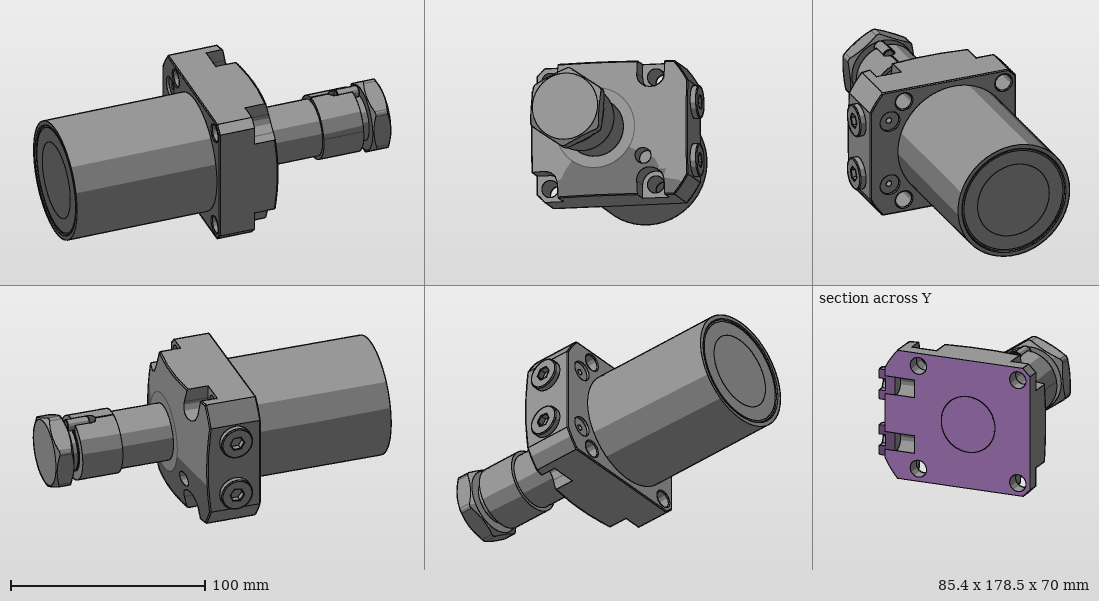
import cadquery as cq
import math


barrel_length = 77.1
flange_depth = 36.2
rod_shoulder_y = 64.6
sleeve_length = 22.0
nut_height = 10.0
total_length = 178.5

flange_half_height = 35.0
flange_right_x = 35.0
flange_left_x = -47.0
flange_round_radius = 53.0
flange_right_chamfer = 4.1
flange_edge_chamfer = 0.5
cone_angle = 15.0
cone_top_radius = 20.9
cone_base_radius = 55.3

mount_pitch_half = 28.0
mount_hole_diameter = 9.0
mount_hole_chamfer = 0.5
head_pocket_radius = 7.0
head_pocket_floor_y = 19.5

barrel_radius = 31.5
closure_radius = 28.7
closure_recess = 0.5
closure_thickness = 10.7
ring_width = 0.9
cap_radius = closure_radius - ring_width
disc_radius = 20.2

hexagon_sides = 6
hexagon_half_angle = 30.0

port_z = 15.2
port_y = 14.0
port_radius = 5.0
port_depth = 16.6
plug_head_diameter = 17.0
plug_head_height = 3.4
plug_head_chamfer = 0.5
plug_shank_length = 5.9
plug_socket_diameter = 7.3
plug_socket_depth = 3.5
plug_socket_chamfer = 0.4
upper_socket_turn = 0.0
lower_socket_turn = 7.0
front_port_x = -35.9
front_port_z = 18.0
front_port_diameter = 3.0
seal_recess_diameter = 11.0
seal_recess_depth = 1.5

back_bore_x = -24.8
back_bore_diameter = 8.0
back_bore_floor_y = 25.0

rod_radius = 15.0
spigot_radius = 12.1
relief_radius = 11.6
relief_width = 0.7
sleeve_radius = 17.0
slit_width = 0.5
slot_end_gap = 0.7
key_radius = 3.0
key_length = 12.1
key_chamfer = 0.4
key_bottom_y = 78.4
key_angle = 8.5
nut_across_flats = 36.0
nut_corner_radius = 2.7
nut_face_radius = 17.3
nut_chamfer_angle = 30.0
nut_angle = 4.5

nut_top_y = total_length - barrel_length
nut_bottom_y = nut_top_y - nut_height
sleeve_top_y = rod_shoulder_y + sleeve_length
closure_y = closure_recess - barrel_length


def across(y):
    """Workplane square to the axis at the given Y, with local axes X and Z."""
    return cq.Workplane("XZ", origin=(0, y, 0))


def cylinder(radius, y_start, y_end):
    """Solid cylinder on the Y axis."""
    return across(y_start).circle(radius).extrude(y_start - y_end)


def chamfered_mouth(radius, chamfer, center):
    """Cone that chamfers the mouth of a hole opening toward -Y."""
    cone = cq.Solid.makeCone(radius + chamfer, radius, chamfer, cq.Vector(*center), cq.Vector(0, 1, 0))
    return cq.Workplane(cone)


def revolved(points):
    """Solid turned about the Y axis from (radius, y) points."""
    outline = cq.Workplane("XY").polyline(points).close()
    return outline.revolve(360, (0, 0, 0), (0, 1, 0))


def turn(body, angle):
    """Turn a body about the Y axis, moving its +Z side toward -X."""
    return body.rotate((0, 0, 0), (0, 1, 0), -angle)


def flange_block():
    """Flange with arc-shaped left corners, chamfered right corners and a conical back."""
    h = flange_half_height
    chamfer_x = flange_right_x - flange_right_chamfer
    chamfer_z = h - flange_right_chamfer
    side_z = math.sqrt(flange_round_radius**2 - flange_left_x**2)
    top_x = -math.sqrt(flange_round_radius**2 - h**2)
    mid_angle = (math.atan2(side_z, flange_left_x) + math.atan2(h, top_x)) / 2
    mid_x = flange_round_radius * math.cos(mid_angle)
    mid_z = flange_round_radius * math.sin(mid_angle)
    block = (
        across(0)
        .moveTo(top_x, h)
        .lineTo(chamfer_x, h)
        .lineTo(flange_right_x, chamfer_z)
        .lineTo(flange_right_x, -chamfer_z)
        .lineTo(chamfer_x, -h)
        .lineTo(top_x, -h)
        .threePointArc((mid_x, -mid_z), (flange_left_x, -side_z))
        .lineTo(flange_left_x, side_z)
        .threePointArc((mid_x, mid_z), (top_x, h))
        .close()
        .extrude(-flange_depth)
    )
    cone_drop = (cone_base_radius - cone_top_radius) * math.tan(math.radians(cone_angle))
    envelope = revolved(
        [
            (0, 0),
            (cone_base_radius, 0),
            (cone_base_radius, flange_depth - cone_drop),
            (cone_top_radius, flange_depth),
            (0, flange_depth),
        ]
    )
    block = block.intersect(envelope)
    block = block.faces("<Y").edges().chamfer(flange_edge_chamfer)
    cone_edges = block.faces("%CONE").edges("not %CIRCLE")
    return cone_edges.chamfer(flange_edge_chamfer)


def mount_cutter(side_x, side_z):
    """Mounting hole with chamfered mouth and a screw head pocket open at the flange edge."""
    x = side_x * mount_pitch_half
    z = side_z * mount_pitch_half
    hole_radius = mount_hole_diameter / 2
    hole = across(0).center(x, z).circle(hole_radius).extrude(-flange_depth)
    mouth = chamfered_mouth(hole_radius, mount_hole_chamfer, (x, 0, z))
    floor = across(head_pocket_floor_y).center(x, z)
    pocket_height = flange_depth - head_pocket_floor_y
    reach = 2 * head_pocket_radius
    pocket = floor.circle(head_pocket_radius).extrude(-pocket_height)
    up_slot = floor.center(0, side_z * reach / 2).rect(reach, reach).extrude(-pocket_height)
    cutter = hole.union(mouth).union(pocket).union(up_slot)
    if side_x > 0:
        side_slot = floor.center(reach / 2, 0).rect(reach, reach).extrude(-pocket_height)
        corner = floor.center(reach / 2, side_z * reach / 2).rect(reach, reach).extrude(-pocket_height)
        cutter = cutter.union(side_slot).union(corner)
    return cutter


def port_cutter(side_z):
    """Side port bore with the small front bore and seal recess that lead to it."""
    side = cq.Workplane("YZ", origin=(flange_left_x, port_y, side_z * port_z))
    side_bore = side.circle(port_radius).extrude(port_depth)
    front = across(0).center(front_port_x, side_z * front_port_z)
    front_bore = front.circle(front_port_diameter / 2).extrude(-port_y)
    recess = front.circle(seal_recess_diameter / 2).extrude(-seal_recess_depth)
    return side_bore.union(front_bore).union(recess)


def make_housing():
    """Flange and barrel in one piece, with every bore and pocket."""
    housing = flange_block().union(cylinder(barrel_radius, -barrel_length, 0))
    for side_z in (1, -1):
        housing = housing.cut(port_cutter(side_z))
        for side_x in (1, -1):
            housing = housing.cut(mount_cutter(side_x, side_z))
    back_bore = (
        across(back_bore_floor_y)
        .center(back_bore_x, -port_z)
        .circle(back_bore_diameter / 2)
        .extrude(back_bore_floor_y - flange_depth)
    )
    rod_bore = cylinder(rod_radius, 0, flange_depth)
    closure_end = closure_y + closure_thickness
    closure_bore = cylinder(closure_radius, -barrel_length, closure_end)
    closure_mouth = chamfered_mouth(closure_radius, closure_recess, (0, -barrel_length, 0))
    return housing.cut(back_bore).cut(rod_bore).cut(closure_bore).cut(closure_mouth)


def make_closure_part(outer_radius, inner_radius=0.0):
    """Disc or ring filling one zone of the barrel end."""
    profile = across(closure_y).circle(outer_radius)
    if inner_radius > 0:
        profile = profile.circle(inner_radius)
    return profile.extrude(-closure_thickness)


def make_plug(side_z, socket_turn):
    """Port plug with a chamfered round head, a shank and a chamfered hexagon socket."""
    seat = cq.Workplane("YZ", origin=(flange_left_x, port_y, side_z * port_z))
    head = seat.circle(plug_head_diameter / 2).extrude(-plug_head_height)
    head = head.faces("<X").edges().chamfer(plug_head_chamfer)
    shank = seat.circle(port_radius).extrude(plug_shank_length)
    socket = (
        seat.workplane(offset=-plug_head_height)
        .transformed(rotate=(0, 0, socket_turn))
        .polygon(hexagon_sides, plug_socket_diameter)
        .extrude(plug_socket_depth)
    )
    mouth_growth = 1 + 2 * plug_socket_chamfer / plug_socket_diameter
    mouth = (
        seat.workplane(offset=plug_socket_chamfer - plug_head_height)
        .transformed(rotate=(0, 0, socket_turn))
        .polygon(hexagon_sides, plug_socket_diameter)
        .workplane(offset=-plug_socket_chamfer)
        .polygon(hexagon_sides, plug_socket_diameter * mouth_growth)
        .loft(ruled=True)
    )
    return head.union(shank).cut(socket).cut(mouth)


def make_rod():
    """Piston rod with a spigot that carries the sleeve and ends in the nut face."""
    rod = cylinder(rod_radius, 0, rod_shoulder_y)
    spigot = cylinder(spigot_radius, rod_shoulder_y, nut_bottom_y)
    relief = cylinder(relief_radius, sleeve_top_y, sleeve_top_y + relief_width)
    groove = cylinder(rod_radius, sleeve_top_y, sleeve_top_y + relief_width).cut(relief)
    return turn(rod.union(spigot).cut(groove), key_angle)


def make_sleeve():
    """Split sleeve with a round-ended key slot that runs out into the narrow slit."""
    sleeve = cylinder(sleeve_radius, rod_shoulder_y, sleeve_top_y)
    sleeve = sleeve.cut(cylinder(spigot_radius, rod_shoulder_y, sleeve_top_y))
    slot_round_y = key_bottom_y - slot_end_gap
    slot_length = sleeve_top_y - slot_round_y
    slot = (
        cq.Workplane("XY")
        .center(0, slot_round_y)
        .circle(key_radius)
        .extrude(sleeve_radius)
        .union(
            cq.Workplane("XY")
            .center(0, slot_round_y + slot_length / 2)
            .rect(2 * key_radius, slot_length)
            .extrude(sleeve_radius)
        )
    )
    slit = (
        cq.Workplane("XY")
        .center(0, rod_shoulder_y + sleeve_length / 2)
        .rect(slit_width, sleeve_length)
        .extrude(sleeve_radius)
    )
    return turn(sleeve.cut(slot).cut(slit), key_angle)


def make_key():
    """Round key with chamfered ends, resting on the spigot in the sleeve's slot."""
    key = across(key_bottom_y).center(0, spigot_radius + key_radius).circle(key_radius)
    key = key.extrude(-key_length).edges("%CIRCLE").chamfer(key_chamfer)
    return turn(key, key_angle)


def make_nut():
    """Hexagon nut with rounded corners and conical chamfers on both faces."""
    corner_diameter = nut_across_flats / math.cos(math.radians(hexagon_half_angle))
    nut = (
        across(nut_bottom_y)
        .transformed(rotate=(0, 0, hexagon_half_angle))
        .polygon(hexagon_sides, corner_diameter)
        .extrude(-nut_height)
        .edges("|Y")
        .fillet(nut_corner_radius)
    )
    outer_radius = corner_diameter / 2
    chamfer_height = (outer_radius - nut_face_radius) * math.tan(math.radians(nut_chamfer_angle))
    envelope = revolved(
        [
            (0, nut_bottom_y),
            (nut_face_radius, nut_bottom_y),
            (outer_radius, nut_bottom_y + chamfer_height),
            (outer_radius, nut_top_y - chamfer_height),
            (nut_face_radius, nut_top_y),
            (0, nut_top_y),
        ]
    )
    return turn(nut.intersect(envelope), nut_angle)


housing = make_housing()
closure_ring = make_closure_part(closure_radius, cap_radius)
closure_cap = make_closure_part(cap_radius, disc_radius)
closure_disc = make_closure_part(disc_radius)
plugs = [
    make_plug(side_z, turn_angle)
    for side_z, turn_angle in ((1, upper_socket_turn), (-1, lower_socket_turn))
]
rod = make_rod()
sleeve = make_sleeve()
key = make_key()
nut = make_nut()

result = cq.Compound.makeCompound(
    [
        housing.val(),
        closure_ring.val(),
        closure_cap.val(),
        closure_disc.val(),
        *[plug.val() for plug in plugs],
        rod.val(),
        sleeve.val(),
        key.val(),
        nut.val(),
    ]
)